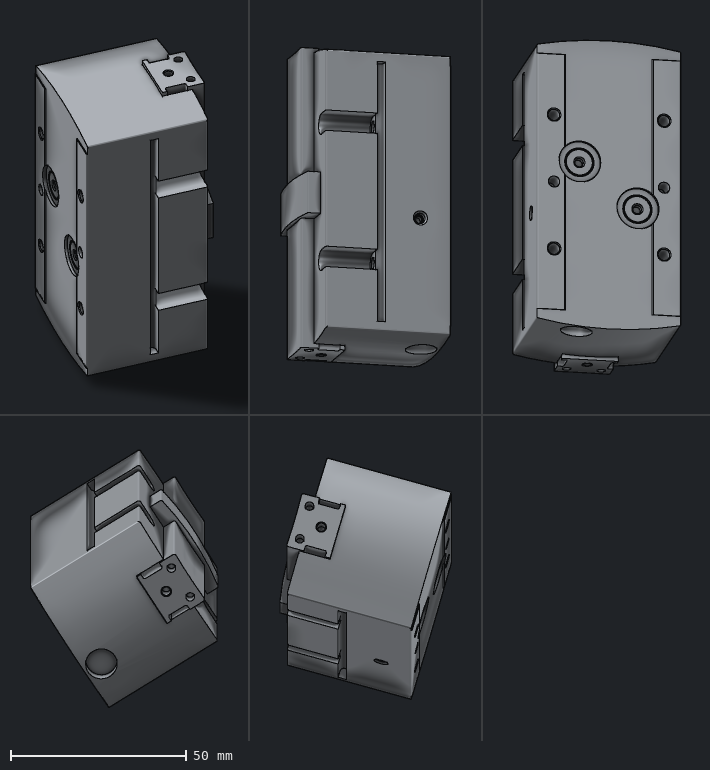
import cadquery as cq
import math


housing_width = 42.0
housing_back = 37.1
end_crown_z = 43.0
end_corner_z = 40.8
side_round = 0.6

pad_inner_x = 12.6
pad_step = 0.3
pad_slope = 0.35
pad_half_length = 38.1

mount_x = 16.0
mount_z = 20.0
mount_hole_d = 3.3
mount_chamfer_d = 4.0
screw_slot_width = 6.0
screw_slot_floor_y = 21.9
dowel_hole_d = 3.3
dowel_hole_depth = 7.0

side_groove_width = 2.5
side_groove_depth = 3.1

port_x = 8.45
port_z = 6.5
port_recess_d = 12.1
port_recess_depth = 0.9
port_mouth_d = 8.5
port_bore_d = 8.0
plug_face_d = 7.6
plug_length = 4.4
plug_socket_d = 2.5
plug_socket_mouth_d = 3.3
plug_socket_depth = 2.2

end_port_d = 9.0
end_port_y = 5.6
end_port_depth = 5.3

purge_y = 9.15
purge_z = -7.0
purge_mouth_d = 4.1
purge_bore_d = 3.0
purge_bore_depth = 2.2
purge_seat_d = 2.5
purge_drill_d = 2.0
purge_drill_depth = 4.4

jaw_width = 16.3
jaw_front = 28.0
jaw_back = 41.0
jaw_end_z = 44.0
jaw_back_sag = 0.2
jaw_back_round = 0.6
jaw_front_round = 0.3
jaw_notch_depth = 1.8
jaw_notch_front = 29.5
jaw_notch_back = 35.7
jaw_notch_round = 0.5
finger_screw_x = 5.0
finger_screw_y = 37.8
finger_screw_d = 2.5
finger_screw_depth = 4.4
finger_pin_y = 32.9
finger_pin_d = 2.5
finger_pin_mouth_d = 3.0
finger_pin_depth = 4.4

cover_width = 30.45
cover_half_length = 6.1
cover_edge_y = 40.9
cover_crown_y = 42.3
cover_edge_round = 0.4

drill_tip_angle = 118.0

half_width = housing_width / 2
half_jaw = jaw_width / 2
half_cover = cover_width / 2
front_face_y = pad_step
port_floor_y = front_face_y + port_recess_depth


def blind_drill(point, direction, diameter, depth):
    """Cylinder with a conical drill tip, running from point along direction."""
    radius = diameter / 2
    tip = radius / math.tan(math.radians(drill_tip_angle / 2))
    start = cq.Vector(*point)
    axis = cq.Vector(*direction)
    shank = cq.Solid.makeCylinder(radius, depth, start, axis)
    cone = cq.Solid.makeCone(radius, 0, tip, start + axis * depth, axis)
    return cq.Workplane(obj=shank.fuse(cone))


def countersink(point, direction, mouth_d, bore_d):
    """45 degree chamfer cutter that narrows from mouth_d to bore_d along direction."""
    depth = (mouth_d - bore_d) / 2
    cone = cq.Solid.makeCone(mouth_d / 2, bore_d / 2, depth, cq.Vector(*point), cq.Vector(*direction))
    return cq.Workplane(obj=cone)


def cylinder(point, direction, diameter, length):
    """Plain cylinder running from point along direction."""
    return cq.Workplane(
        obj=cq.Solid.makeCylinder(diameter / 2, length, cq.Vector(*point), cq.Vector(*direction))
    )


def box_between(low, high):
    """Axis-aligned box between two opposite corners."""
    size = [b - a for a, b in zip(low, high)]
    return cq.Workplane("XY").box(*size, centered=False).translate(low)


def housing_block():
    """Block with crowned ends and rounded side borders."""
    block = (
        cq.Workplane("XZ")
        .moveTo(-half_width, -end_corner_z)
        .threePointArc((0, -end_crown_z), (half_width, -end_corner_z))
        .lineTo(half_width, end_corner_z)
        .threePointArc((0, end_crown_z), (-half_width, end_corner_z))
        .close()
        .extrude(-housing_back)
    )
    return block.faces("<X or >X").edges().fillet(side_round)


def pad_relief():
    """Material in front of the front face that leaves only the two pads."""
    between_pads = (
        cq.Workplane("XY")
        .workplane(offset=-end_crown_z)
        .polyline([
            (-pad_inner_x - pad_slope, 0),
            (pad_inner_x + pad_slope, 0),
            (pad_inner_x, pad_step),
            (-pad_inner_x, pad_step),
        ])
        .close()
        .extrude(2 * end_crown_z)
    )
    top_end = box_between(
        (-half_width, 0, pad_half_length), (half_width, pad_step, end_crown_z)
    )
    return between_pads.union(top_end).union(top_end.mirror("XY"))


def jaw_channel():
    """Straight channel, open at the back, that holds both jaws."""
    return box_between(
        (-half_jaw, jaw_front, -end_crown_z), (half_jaw, housing_back, end_crown_z)
    )


def mounting_hole(side, z):
    """Through hole from a pad into a round-ended screw slot that opens to the side and back."""
    x = side * mount_x
    slot_height = housing_back - screw_slot_floor_y
    hole = cylinder((x, 0, z), (0, 1, 0), mount_hole_d, housing_back)
    slot_end = cylinder((x, screw_slot_floor_y, z), (0, 1, 0), screw_slot_width, slot_height)
    outer_x = side * half_width
    slot = box_between(
        (min(x, outer_x), screw_slot_floor_y, z - screw_slot_width / 2),
        (max(x, outer_x), housing_back, z + screw_slot_width / 2),
    )
    mouth = countersink((x, 0, z), (0, 1, 0), mount_chamfer_d, mount_hole_d)
    return hole.union(slot_end).union(slot).union(mouth)


def side_groove(side):
    """Long round-bottomed groove in one side, in front of the floor of the screw slots."""
    outer_x = side * half_width
    radius = side_groove_width / 2
    front_y = screw_slot_floor_y - side_groove_width
    floor_x = side * (half_width - side_groove_depth)
    arc_start_x = side * (half_width - side_groove_depth + radius)
    return (
        cq.Workplane("XY")
        .workplane(offset=-pad_half_length)
        .moveTo(outer_x, front_y)
        .lineTo(arc_start_x, front_y)
        .threePointArc((floor_x, front_y + radius), (arc_start_x, screw_slot_floor_y))
        .lineTo(outer_x, screw_slot_floor_y)
        .close()
        .extrude(2 * pad_half_length)
    )


def front_port(x, z):
    """Sealing recess and chamfered bore for one plug."""
    recess = cylinder((x, 0, z), (0, 1, 0), port_recess_d, port_floor_y)
    mouth = countersink((x, port_floor_y, z), (0, 1, 0), port_mouth_d, port_bore_d)
    bore = cylinder((x, port_floor_y, z), (0, 1, 0), port_bore_d, plug_length)
    return recess.union(mouth).union(bore)


def end_port():
    """Blind bore in the lower crowned end."""
    return cylinder((-port_x, end_port_y, -end_crown_z), (0, 0, 1), end_port_d, end_port_depth)


def purge_hole():
    """Chamfered, stepped air hole in the -X side."""
    mouth_point = (-half_width, purge_y, purge_z)
    mouth = countersink(mouth_point, (1, 0, 0), purge_mouth_d, purge_bore_d)
    bore = cylinder(mouth_point, (1, 0, 0), purge_bore_d, purge_bore_depth)
    floor_point = (purge_bore_depth - half_width, purge_y, purge_z)
    seat = countersink(floor_point, (1, 0, 0), purge_seat_d, purge_drill_d)
    drill = blind_drill(mouth_point, (1, 0, 0), purge_drill_d, purge_drill_depth)
    return mouth.union(bore).union(seat).union(drill)


port_places = [(-port_x, port_z), (port_x, -port_z)]


def make_housing():
    body = housing_block().cut(pad_relief()).cut(jaw_channel())
    for side in (-1, 1):
        body = body.cut(side_groove(side))
        body = body.cut(blind_drill((side * mount_x, 0, 0), (0, 1, 0), dowel_hole_d, dowel_hole_depth))
        for z in (-mount_z, mount_z):
            body = body.cut(mounting_hole(side, z))
    for x, z in port_places:
        body = body.cut(front_port(x, z))
    return body.cut(end_port()).cut(purge_hole())


def make_plug(x, z):
    """Round plug, flush with the recess floor, with a chamfered rim and a central socket."""
    plug = cylinder((x, port_floor_y, z), (0, 1, 0), port_bore_d, plug_length)
    plug = plug.faces("<Y").chamfer((port_bore_d - plug_face_d) / 2)
    socket = cylinder((x, port_floor_y, z), (0, 1, 0), plug_socket_d, plug_socket_depth)
    mouth = countersink((x, port_floor_y, z), (0, 1, 0), plug_socket_mouth_d, plug_socket_d)
    return plug.cut(socket).cut(mouth)


def make_jaw(end):
    """Slide from mid length to one end of the channel; end is +1 or -1 along Z."""
    jaw = (
        cq.Workplane("XY")
        .moveTo(-half_jaw, jaw_front)
        .lineTo(half_jaw, jaw_front)
        .lineTo(half_jaw, jaw_back)
        .threePointArc((0, jaw_back - jaw_back_sag), (-half_jaw, jaw_back))
        .close()
        .extrude(jaw_end_z)
    )
    jaw = jaw.edges("|Z and >Y").fillet(jaw_back_round)
    jaw = jaw.edges("|Z and <Y").fillet(jaw_front_round)
    for side in (-1, 1):
        notch = box_between(
            (-jaw_notch_depth, jaw_notch_front, 0), (jaw_notch_depth, jaw_notch_back, jaw_end_z)
        )
        notch = notch.edges("|Z").fillet(jaw_notch_round)
        jaw = jaw.cut(notch.translate((side * half_jaw, 0, 0)))
        screw_mouth = (side * finger_screw_x, finger_screw_y, jaw_end_z)
        jaw = jaw.cut(blind_drill(screw_mouth, (0, 0, -1), finger_screw_d, finger_screw_depth))
    pin_mouth = (0, finger_pin_y, jaw_end_z)
    jaw = jaw.cut(blind_drill(pin_mouth, (0, 0, -1), finger_pin_d, finger_pin_depth))
    jaw = jaw.cut(countersink(pin_mouth, (0, 0, -1), finger_pin_mouth_d, finger_pin_d))
    return jaw if end > 0 else jaw.mirror("XY")


def make_cover(jaws):
    """Crowned bridge over the middle of the jaws, resting on the housing back."""
    cover = (
        cq.Workplane("XY")
        .workplane(offset=-cover_half_length)
        .moveTo(-half_cover, housing_back)
        .lineTo(half_cover, housing_back)
        .lineTo(half_cover, cover_edge_y)
        .threePointArc((0, cover_crown_y), (-half_cover, cover_edge_y))
        .close()
        .extrude(2 * cover_half_length)
    )
    cover = cover.edges("|Z").edges(">X or <X").edges(">Y").fillet(cover_edge_round)
    for jaw in jaws:
        cover = cover.cut(jaw)
    return cover


housing = make_housing()
plugs = [make_plug(x, z) for x, z in port_places]
jaws = [make_jaw(end) for end in (-1, 1)]
cover = make_cover(jaws)

result = cq.Compound.makeCompound([
    housing.val(),
    cover.val(),
    *[jaw.val() for jaw in jaws],
    *[plug.val() for plug in plugs],
])